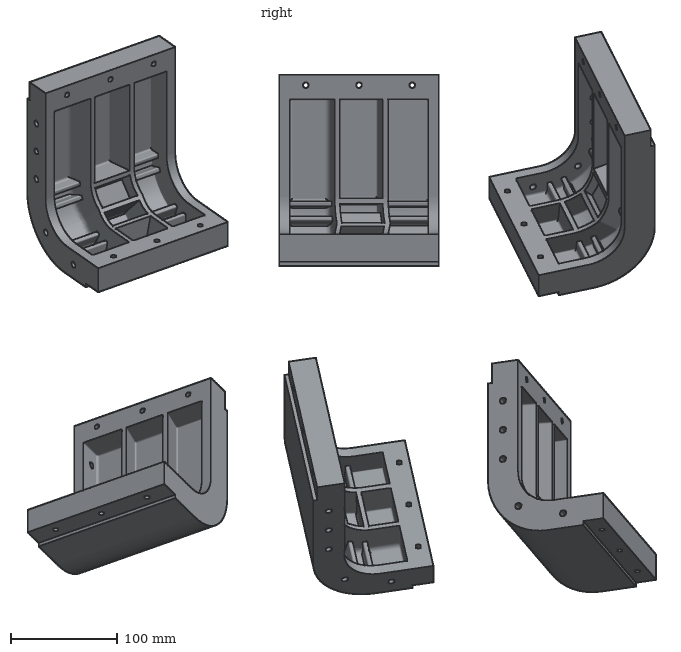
import cadquery as cq
import math

LENGTH_X = 115.0
WIDTH_Y = 150.0
HEIGHT_Z = 180.0

WALL = 30.0
OUTER_RADIUS = 60.0
INNER_RADIUS = 35.0
STEP_LENGTH = 20.0
STEP_DEPTH = 4.0

FLOOR = 5.0
SIDE_WALL = 10.0
END_WALL = 23.0
FIRST_RIB = (52.2, 56.9)
SECOND_RIB = (97.2, 102.5)
LEAN = 0.2
MITRE_RADIUS = 6.1
BIG_FILLET = 5.0
MEDIUM_FILLET = 2.5
SMALL_FILLET = 1.5
TINY_FILLET = 0.7
TOLERANCE = 0.02

RIB_WIDTH = 4.9
LOW_RIB_HEIGHT = 11.5
LOW_RIB_ROUND = 1.5
LOW_RIB_ANGLE = 20.0
LOW_RIB_X = 58.5
TALL_RIB_ANGLE = 41.0
TALL_RIB_X = 61.2
WIDE_FOOT = 2.7
NARROW_FOOT = 1.6
TALL_FOOT = 1.8
PAD_ANGLE = 58.0
PAD_WIDTH = 25.2
PAD_HEIGHT = 15.8

SCREW_DIAMETER = 5.0
SIDE_HOLE_DIAMETER = 6.1
HOLE_PITCH_Y = 50.0
SIDE_HOLE_PITCH = 30.0
SIDE_HOLE_TOP_Z = 140.0
SIDE_HOLE_X = 74.9
BEND_HOLE = (30.5, 29.2)


def make_body():
    """L profile with rounded bend and a shallow step near each end."""
    bend = math.sqrt(0.5)
    outer_mid = OUTER_RADIUS * (1 - bend)
    inner_centre = WALL + INNER_RADIUS
    inner_mid = inner_centre - INNER_RADIUS * bend
    return (
        cq.Workplane("XZ")
        .moveTo(STEP_DEPTH, HEIGHT_Z)
        .lineTo(STEP_DEPTH, HEIGHT_Z - STEP_LENGTH)
        .lineTo(0, HEIGHT_Z - STEP_LENGTH)
        .lineTo(0, OUTER_RADIUS)
        .threePointArc((outer_mid, outer_mid), (OUTER_RADIUS, 0))
        .lineTo(LENGTH_X - STEP_LENGTH, 0)
        .lineTo(LENGTH_X - STEP_LENGTH, STEP_DEPTH)
        .lineTo(LENGTH_X, STEP_DEPTH)
        .lineTo(LENGTH_X, WALL)
        .lineTo(inner_centre, WALL)
        .threePointArc((inner_mid, inner_mid), (WALL, inner_centre))
        .lineTo(WALL, HEIGHT_Z)
        .close()
        .extrude(-WIDTH_Y)
    )


def pocket_half(plane, reach, y_start, y_end, start_lean, end_lean):
    """Straight channel along one leg, its sides leaning with the height above the outer face."""
    def side(y_face, lean, height):
        return (y_face + lean * (height - WALL), height)

    return (
        cq.Workplane(plane)
        .polyline([
            side(y_start, start_lean, 0),
            side(y_end, end_lean, 0),
            side(y_end, end_lean, LENGTH_X),
            side(y_start, start_lean, LENGTH_X),
        ])
        .close()
        .extrude(reach)
    )


def wedge(corner):
    """Triangular prism on one side of the bisecting plane x = z."""
    return (
        cq.Workplane("XZ", origin=(0, -WIDTH_Y, 0))
        .polyline([(0, 0), (HEIGHT_Z, HEIGHT_Z), corner])
        .close()
        .extrude(-3 * WIDTH_Y)
    )


def on_floor(point):
    """True where a point lies on the rounded pocket floor."""
    if point.x >= OUTER_RADIUS:
        depth = point.z
    elif point.z >= OUTER_RADIUS:
        depth = point.x
    else:
        from_centre = math.hypot(point.x - OUTER_RADIUS, point.z - OUTER_RADIUS)
        depth = OUTER_RADIUS - from_centre
    return abs(depth - FLOOR) < TOLERANCE


def on_mitre(point):
    """True where a point lies on the plane bisecting the two legs."""
    return abs(point.x - point.z) < TOLERANCE


def edges_within(solid, test, y_low=-WIDTH_Y, y_high=2 * WIDTH_Y):
    """Edges whose two ends pass the test and lie between two Y positions."""
    def chosen(edge):
        ends = (edge.startPoint(), edge.endPoint())
        return all(test(point) and y_low < point.y < y_high for point in ends)

    return solid.newObject([edge for edge in solid.edges().vals() if chosen(edge)])


def far_edges(pocket):
    """Floor edges along Y at the far end of each leg."""
    lower_end = pocket.faces(">X").edges("|Y and <Z")
    upper_end = pocket.faces(">Z").edges("|Y and <X")
    return pocket.newObject(lower_end.vals() + upper_end.vals())


def make_pocket(y_start, y_end, start_lean, end_lean, start_fillet, end_fillet, far_fillet):
    """Pocket volume across both legs, with a rounded floor in the bend and filleted floor edges."""
    sides = (y_start, y_end, start_lean, end_lean)
    lower = pocket_half("YZ", HEIGHT_Z, *sides).intersect(wedge((HEIGHT_Z, 0)))
    upper = pocket_half("YX", -HEIGHT_Z, *sides).intersect(wedge((0, HEIGHT_Z)))
    floor_block = (
        cq.Workplane("XY")
        .box(
            LENGTH_X - END_WALL - FLOOR,
            3 * WIDTH_Y,
            HEIGHT_Z - END_WALL - FLOOR,
            centered=(False, True, False),
        )
        .translate((FLOOR, 0, FLOOR))
        .edges("|Y and <X and <Z")
        .fillet(OUTER_RADIUS - FLOOR)
    )
    pocket = lower.union(upper).intersect(floor_block)
    pocket = edges_within(pocket, on_mitre).fillet(MITRE_RADIUS)

    middle_y = (y_start + y_end) / 2
    pocket = edges_within(pocket, on_floor, y_low=middle_y).fillet(end_fillet)
    pocket = edges_within(pocket, on_floor, y_high=middle_y).fillet(start_fillet)
    return far_edges(pocket).fillet(far_fillet)


def make_rib(height, foot, top_round):
    """Rib of length WIDTH_Y standing on the plane z = 0, with concave fillets along its foot."""
    half = RIB_WIDTH / 2
    bury = FLOOR / 2
    diagonal = foot * (1 - math.sqrt(0.5))
    rib = (
        cq.Workplane("XZ")
        .moveTo(-half - foot, -bury)
        .lineTo(-half - foot, 0)
        .threePointArc((-half - diagonal, diagonal), (-half, foot))
        .lineTo(-half, height)
        .lineTo(half, height)
        .lineTo(half, foot)
        .threePointArc((half + diagonal, diagonal), (half + foot, 0))
        .lineTo(half + foot, -bury)
        .close()
        .extrude(-WIDTH_Y)
    )
    if top_round:
        rib = rib.edges("|Y and >Z").fillet(top_round)
    return rib


def on_leg(rib, x_position):
    """The rib standing on the lower leg, and its mirror image on the upright leg."""
    lower = rib.translate((x_position, 0, FLOOR))
    upper = rib.rotate((0, 0, 0), (0, 1, 0), 90).translate((FLOOR, 0, x_position))
    return [lower, upper]


def in_bend(rib, angle):
    """The rib standing radially in the bend, turned by the angle from the lower leg."""
    centre = (OUTER_RADIUS, 0, OUTER_RADIUS)
    axis_end = (OUTER_RADIUS, 1, OUTER_RADIUS)
    return rib.translate((OUTER_RADIUS, 0, FLOOR)).rotate(centre, axis_end, angle)


def low_ribs(foot):
    """Low rounded ribs of an outer pocket, symmetric about the bisecting plane."""
    rib = make_rib(LOW_RIB_HEIGHT, foot, LOW_RIB_ROUND)
    bend_ribs = [in_bend(rib, angle) for angle in (LOW_RIB_ANGLE, 90 - LOW_RIB_ANGLE)]
    return on_leg(rib, LOW_RIB_X) + bend_ribs


def tall_ribs():
    """Full-height ribs of the middle pocket, and the raised floor beside the bend rib."""
    rib = make_rib(OUTER_RADIUS - FLOOR, TALL_FOOT, 0)
    pad = cq.Workplane("XY").box(PAD_WIDTH, WIDTH_Y, PAD_HEIGHT, centered=(True, False, False))
    bend_ribs = [in_bend(rib, TALL_RIB_ANGLE), in_bend(pad, PAD_ANGLE)]
    return on_leg(rib, TALL_RIB_X) + bend_ribs


def cut_pocket(body, pocket, ribs):
    """Cut a pocket but leave its ribs standing."""
    for rib in ribs:
        pocket = pocket.cut(rib)
    return body.cut(pocket)


def hole(plane, origin, diameter, depth):
    """Cylinder along the normal of the plane."""
    return cq.Workplane(plane, origin=origin).circle(diameter / 2).extrude(depth)


body = make_body()

front_pocket = make_pocket(
    SIDE_WALL, FIRST_RIB[0], 0, LEAN, MEDIUM_FILLET, BIG_FILLET, SMALL_FILLET
)
middle_pocket = make_pocket(
    FIRST_RIB[1], SECOND_RIB[0], LEAN, LEAN, SMALL_FILLET, SMALL_FILLET, SMALL_FILLET
)
back_pocket = make_pocket(
    SECOND_RIB[1], WIDTH_Y - SIDE_WALL, LEAN, 0, SMALL_FILLET, TINY_FILLET, TINY_FILLET
)
body = cut_pocket(body, front_pocket, low_ribs(WIDE_FOOT))
body = cut_pocket(body, middle_pocket, tall_ribs())
body = cut_pocket(body, back_pocket, low_ribs(NARROW_FOOT))

for row in (-1, 0, 1):
    y_hole = WIDTH_Y / 2 + row * HOLE_PITCH_Y
    x_hole = LENGTH_X - STEP_LENGTH / 2
    z_hole = HEIGHT_Z - STEP_LENGTH / 2
    body = body.cut(hole("XY", (x_hole, y_hole, 0), SCREW_DIAMETER, WALL))
    body = body.cut(hole("YZ", (0, y_hole, z_hole), SCREW_DIAMETER, WALL))

side_holes = [(WALL / 2, SIDE_HOLE_TOP_Z - index * SIDE_HOLE_PITCH) for index in range(3)]
side_holes += [BEND_HOLE, (SIDE_HOLE_X, WALL / 2)]
for x_hole, z_hole in side_holes:
    body = body.cut(hole("XZ", (x_hole, 0, z_hole), SIDE_HOLE_DIAMETER, -SIDE_WALL))

result = body